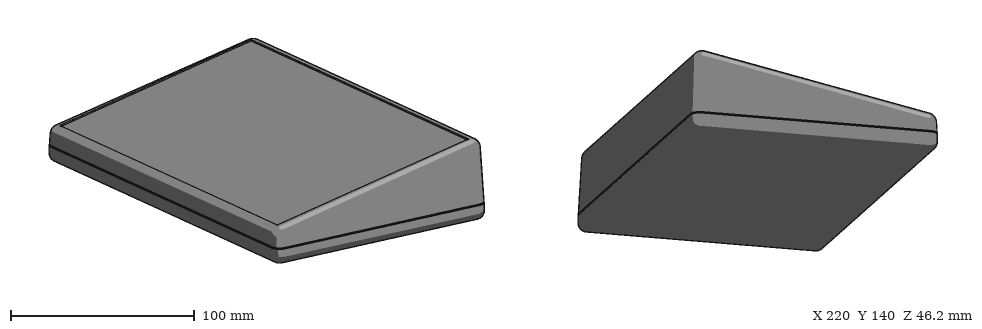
import cadquery as cq
import math

length = 220.0
depth = 140.0
front_y = -depth / 2
rear_y = depth / 2
corner_radius = 5.0

base_height = 9.2
underside_radius = 4.8

groove_height = 0.7
groove_depth = 0.7

draft_angle = 2.7
slope_angle = 11.1
slope = math.tan(math.radians(slope_angle))
front_height = 20.2
lid_radius = 5.5
lid_bottom = base_height + groove_height
trim_clearance = 11.0
trim_height = front_height + slope * depth + trim_clearance

recess_length = 206.4
recess_front_margin = 4.8
recess_rear_margin = 8.4
recess_drop = 0.9


def slope_height(y):
    """Height of the sloping top plane at depth position y."""
    return front_height + slope * (y - front_y)


def space_above_slope(width, y_start, y_end, drop):
    """Everything above the sloping plane lowered by drop, between y_start and y_end."""
    outline = [
        (y_start, slope_height(y_start) - drop),
        (y_end, slope_height(y_end) - drop),
        (y_end, trim_height),
        (y_start, trim_height),
    ]
    return cq.Workplane("YZ").polyline(outline).close().extrude(width / 2, both=True)


def make_base():
    """Solid tray, rounded at its upright corners and around its underside."""
    block = cq.Workplane("XY").box(length, depth, base_height, centered=(True, True, False))
    block = block.edges("|Z").fillet(corner_radius)
    return block.faces("<Z").edges().fillet(underside_radius)


def make_lid_block():
    """Drafted block cut by the sloping plane, with corners and top rim rounded alike."""
    block = cq.Workplane("XY").workplane(offset=lid_bottom).rect(length, depth)
    block = block.extrude(trim_height - lid_bottom, taper=draft_angle)
    block = block.cut(space_above_slope(length, front_y, rear_y, 0.0))
    return block.faces("not <Z").edges("not <Z").fillet(lid_radius)


def make_panel_recess():
    """Cutter for the shallow panel recess that follows the sloping top."""
    y_start = front_y + recess_front_margin
    y_end = rear_y - recess_rear_margin
    return space_above_slope(recess_length, y_start, y_end, recess_drop)


def make_parting_neck():
    """Inset foot of the lid that stands on the base and leaves the groove around it."""
    neck = cq.Workplane("XY").workplane(offset=base_height)
    neck = neck.rect(length - 2 * groove_depth, depth - 2 * groove_depth).extrude(groove_height)
    return neck.edges("|Z").fillet(corner_radius - groove_depth)


base = make_base()
lid = make_lid_block().cut(make_panel_recess()).union(make_parting_neck())

result = cq.Compound.makeCompound([base.val(), lid.val()])